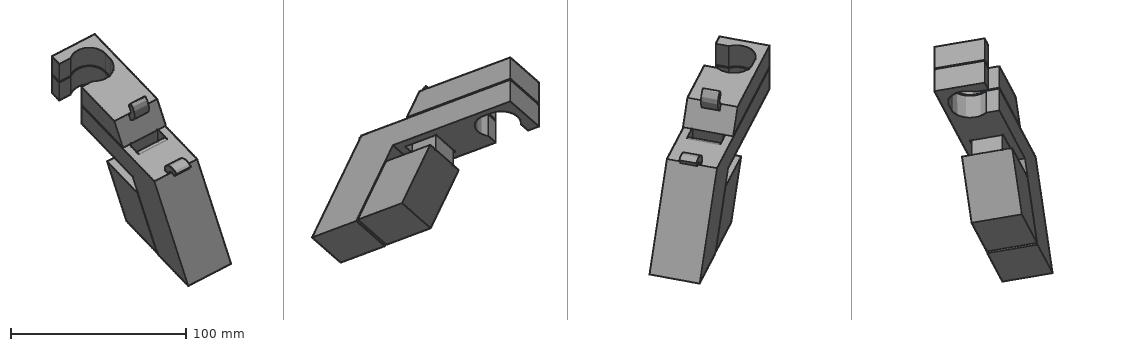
import cadquery as cq
import math

length = 135.0
width = 30.0
bar_thickness = 15.0
frame_height = 58.2
lean = math.tan(math.radians(30))

bar_bottom = frame_height - bar_thickness
frame_corner_x = length - frame_height * lean
leg_width = 30.1
leg_inner_bottom_x = length - leg_width
leg_inner_top_x = leg_inner_bottom_x - bar_bottom * lean

block_bottom = frame_height + 0.8
block_top = 73.8
neck_left = 54.5
neck_right = 70.5
neck_width = 18.2
foot_top = 33.8
foot_bottom = 0.5
foot_length = 30.1
block_corner_x = neck_right - (block_top - block_bottom) * lean
foot_bottom_left = neck_left + (foot_top - foot_bottom) * lean

side_clearance = 0.88
slot_right = 74.8
slot_lead_in = 4.2

seat_x = 18.4
seat_flat = 4.9
seat_radius = 11.1
seat_mouth = 21.9

hook_width = 10.1
hook_inner_diameter = 8.0
hook_inner_radius = hook_inner_diameter / 2
hook_outer_radius = 2 * hook_inner_radius
hook_tip_angle = 60


def extrude_profile(points, depth):
    """Extrude an XZ outline symmetrically about Y = 0."""
    return cq.Workplane("XZ").polyline(points).close().extrude(depth / 2, both=True)


def seat_cutter(bottom, top):
    """Obround bore with a narrower mouth open toward -Y."""
    plane = cq.Workplane("XY", origin=(seat_x, 0, bottom))
    bore = plane.slot2D(seat_flat + 2 * seat_radius, 2 * seat_radius).extrude(top - bottom)
    mouth = plane.center(0, -width / 2).rect(seat_mouth, width).extrude(top - bottom)
    return bore.union(mouth)


def make_hook(center_x, center_z, start_angle):
    """Curved strip from start_angle to the tip angle, in degrees from +X toward +Z."""
    middle_angle = (start_angle + hook_tip_angle) / 2

    def arc_point(radius, angle):
        radians = math.radians(angle)
        return (center_x + radius * math.cos(radians), center_z + radius * math.sin(radians))

    return (
        cq.Workplane("XZ")
        .moveTo(*arc_point(hook_inner_radius, start_angle))
        .threePointArc(
            arc_point(hook_inner_radius, middle_angle),
            arc_point(hook_inner_radius, hook_tip_angle),
        )
        .lineTo(*arc_point(hook_outer_radius, hook_tip_angle))
        .threePointArc(
            arc_point(hook_outer_radius, middle_angle),
            arc_point(hook_outer_radius, start_angle),
        )
        .close()
        .extrude(hook_width / 2, both=True)
    )


def neck_slot_cutter():
    """Slot through the bar, flaring along a convex quarter round at its top +X edge."""
    slot_left = neck_left - side_clearance
    round_bottom = frame_height - slot_lead_in
    round_center_x = slot_right + slot_lead_in
    diagonal = slot_lead_in * math.sqrt(0.5)
    return (
        cq.Workplane("XZ")
        .moveTo(slot_left, bar_bottom)
        .lineTo(slot_right, bar_bottom)
        .lineTo(slot_right, round_bottom)
        .threePointArc(
            (round_center_x - diagonal, round_bottom + diagonal),
            (round_center_x, frame_height),
        )
        .lineTo(slot_left, frame_height)
        .close()
        .extrude(neck_width / 2 + side_clearance, both=True)
    )


def make_frame():
    outline = [
        (0, bar_bottom),
        (leg_inner_top_x, bar_bottom),
        (leg_inner_bottom_x, 0),
        (length, 0),
        (frame_corner_x, frame_height),
        (0, frame_height),
    ]
    hook = make_hook(frame_corner_x + hook_inner_radius, frame_height, 180)
    body = extrude_profile(outline, width)
    body = body.cut(seat_cutter(bar_bottom, frame_height))
    return body.cut(neck_slot_cutter()).union(hook)


def make_slider():
    block = extrude_profile(
        [
            (0, block_bottom),
            (neck_right, block_bottom),
            (block_corner_x, block_top),
            (0, block_top),
        ],
        width,
    ).cut(seat_cutter(block_bottom, block_top))
    neck = extrude_profile(
        [
            (neck_left, foot_top),
            (neck_right, foot_top),
            (neck_right, block_bottom),
            (neck_left, block_bottom),
        ],
        neck_width,
    )
    foot = extrude_profile(
        [
            (foot_bottom_left, foot_bottom),
            (foot_bottom_left + foot_length, foot_bottom),
            (neck_left + foot_length, foot_top),
            (neck_left, foot_top),
        ],
        width,
    )
    hook_rise = hook_inner_radius * math.sin(math.radians(hook_tip_angle))
    hook = make_hook(block_corner_x - hook_rise * lean, block_top + hook_rise, -hook_tip_angle)
    return block.union(neck).union(foot).union(hook)


frame = make_frame()
slider = make_slider()
result = cq.Compound.makeCompound([frame.solids().val(), slider.solids().val()])